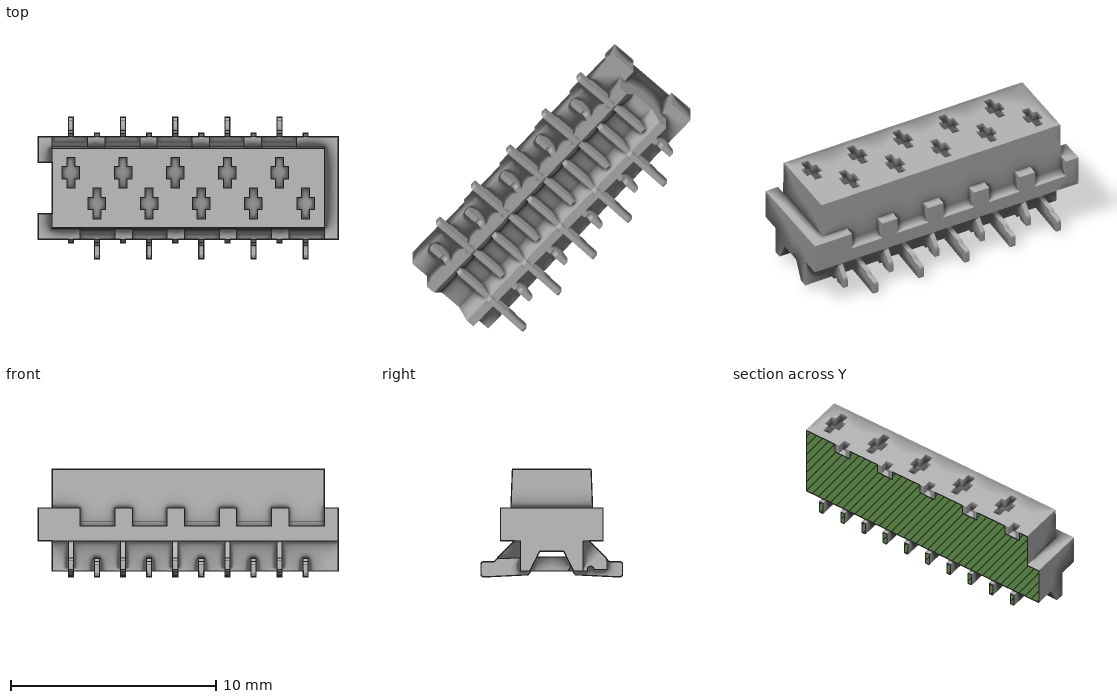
import cadquery as cq
import math


half_turn = 180

total_length = 14.63
total_width = 6.90
total_height = 5.25

contact_count = 10
contact_pitch = 1.27
row_offset = 0.75
first_contact_x = -contact_pitch * (contact_count - 1) / 2

end_x = total_length / 2
end_wall = 0.69
body_end_x = end_x - end_wall
body_top_half = 1.92
body_base_half = 2.02
foot_half = 1.52
foot_bottom = 0.28

tunnel_top = 1.25
tunnel_top_half = 0.58
tunnel_bottom_half = 1.08

collar_half = 2.50
collar_bottom = 1.76
collar_top = 3.36
post_width = 1.25
notch_floor = 2.47
root_radius = 0.23
merlon_width = 0.85
merlon_pitch = 2 * contact_pitch
merlon_shift = 0.03
first_merlon_x = first_contact_x + merlon_shift
merlon_count = 5

cross_length = 1.50
cross_stem_width = 0.40
cross_arm_span = 0.85
cross_arm_width = 0.60
cross_depth = 0.50

lead_thickness = 0.25
lead_tip_y = total_width / 2
lead_top = 0.75
lead_tip_radius = 0.15
lead_shoulder_y = 2.65
lead_shoulder_z = 0.90
lead_step_y = 0.55
lead_step_z = 0.94
lead_bar_top = 0.98
lead_flat_length = 0.25
lead_heel_y = 1.15
lead_heel_z = 0.10
lead_toe_y = 1.02
stub_end_y = 2.68
stub_bottom = 0.36
stub_slope_top_y = 1.82
stub_slope_end_y = 2.65
stub_chamfer_z = 0.81
stub_notch_inner_y = 1.73
stub_notch_radius = 0.165
relief_start_y = 0.79
relief_end_y = 0.95
relief_top = 0.56


def box(x_range, y_range, z_range):
    """Box spanning the given coordinate ranges."""
    size = [r[1] - r[0] for r in (x_range, y_range, z_range)]
    corner = (x_range[0], y_range[0], z_range[0])
    return cq.Workplane("XY").box(*size, centered=False).translate(corner)


def along_x(profile, x_start, x_end):
    """Extrude a closed YZ profile from x_start to x_end."""
    return profile.extrude(x_end - x_start).translate((x_start, 0, 0))


def make_body():
    """Tapered upper body, narrow foot and the collar ledge with rounded roots."""
    root_z = notch_floor + root_radius
    ledge_y = body_base_half + root_radius
    arc_reach = root_radius * (1 - math.cos(math.pi / 4))
    arc_mid_y = body_base_half + arc_reach
    arc_mid_z = notch_floor + arc_reach
    section = (
        cq.Workplane("YZ")
        .moveTo(-foot_half, foot_bottom)
        .lineTo(foot_half, foot_bottom)
        .lineTo(foot_half, collar_bottom)
        .lineTo(collar_half, collar_bottom)
        .lineTo(collar_half, notch_floor)
        .lineTo(ledge_y, notch_floor)
        .threePointArc((arc_mid_y, arc_mid_z), (body_base_half, root_z))
        .lineTo(body_top_half, total_height)
        .lineTo(-body_top_half, total_height)
        .lineTo(-body_base_half, root_z)
        .threePointArc((-arc_mid_y, arc_mid_z), (-ledge_y, notch_floor))
        .lineTo(-collar_half, notch_floor)
        .lineTo(-collar_half, collar_bottom)
        .lineTo(-foot_half, collar_bottom)
        .close()
    )
    return along_x(section, -body_end_x, body_end_x)


def add_collar_ends(body):
    """Two posts at the -X end and a full wall, with its foot, at the +X end."""
    collar_z = (collar_bottom, collar_top)
    post_inner = collar_half - post_width
    body = body.union(box((-end_x, -body_end_x), (post_inner, collar_half), collar_z))
    body = body.union(box((-end_x, -body_end_x), (-collar_half, -post_inner), collar_z))
    body = body.union(box((body_end_x, end_x), (-collar_half, collar_half), collar_z))
    return body.union(box((body_end_x, end_x), (-foot_half, foot_half), (foot_bottom, collar_bottom)))


def add_merlons(body):
    """Collar blocks on both sides; the two sides are half a turn apart about Z."""
    embed_y = body_top_half
    for index in range(merlon_count):
        center_x = first_merlon_x + index * merlon_pitch
        start_x = center_x - merlon_width / 2
        if index == 0:
            start_x = -body_end_x
        block = box(
            (start_x, center_x + merlon_width / 2),
            (-collar_half, -embed_y),
            (collar_bottom, collar_top),
        )
        body = body.union(block)
        body = body.union(block.rotate((0, 0, 0), (0, 0, 1), half_turn))
    return body


def cut_tunnel(body):
    """Trapezoidal tunnel through the whole length of the foot."""
    section = cq.Workplane("YZ").polyline([
        (-tunnel_bottom_half, foot_bottom),
        (tunnel_bottom_half, foot_bottom),
        (tunnel_top_half, tunnel_top),
        (-tunnel_top_half, tunnel_top),
    ]).close()
    return body.cut(along_x(section, -end_x, end_x))


def make_cross(x, y):
    """Cutter for one cross-shaped contact opening."""
    top = cq.Workplane("XY").workplane(offset=total_height).center(x, y)
    stem = top.rect(cross_stem_width, cross_length).extrude(-cross_depth)
    arms = top.rect(cross_arm_span, cross_arm_width).extrude(-cross_depth)
    return stem.union(arms)


def make_lead():
    """Lead centred on X = 0 with its long solder tail toward +Y and a stub toward -Y."""
    notch_outer_y = stub_notch_inner_y + 2 * stub_notch_radius
    notch_mid_y = stub_notch_inner_y + stub_notch_radius
    section = (
        cq.Workplane("YZ")
        .moveTo(lead_tip_y, 0)
        .lineTo(lead_tip_y, lead_top)
        .lineTo(lead_shoulder_y + lead_shoulder_z - lead_top, lead_top)
        .lineTo(lead_shoulder_y, lead_shoulder_z)
        .lineTo(lead_step_y, lead_step_z)
        .lineTo(lead_step_y, lead_bar_top)
        .lineTo(-foot_half, lead_bar_top)
        .lineTo(-foot_half, collar_bottom)
        .lineTo(-stub_slope_top_y, collar_bottom)
        .lineTo(-stub_slope_end_y, collar_bottom - stub_slope_end_y + stub_slope_top_y)
        .lineTo(-stub_end_y, stub_chamfer_z)
        .lineTo(-stub_end_y, stub_bottom)
        .lineTo(-notch_outer_y, stub_bottom)
        .threePointArc((-notch_mid_y, stub_bottom + stub_notch_radius), (-stub_notch_inner_y, stub_bottom))
        .lineTo(-stub_notch_inner_y, foot_bottom)
        .lineTo(-foot_half, foot_bottom)
        .lineTo(-relief_end_y, relief_top)
        .lineTo(-relief_start_y, foot_bottom)
        .lineTo(lead_toe_y, foot_bottom)
        .lineTo(lead_heel_y, lead_heel_z)
        .lineTo(lead_tip_y - lead_flat_length, 0)
        .close()
    )
    lead = along_x(section, -lead_thickness / 2, lead_thickness / 2)
    return lead.faces(">Y").edges("|X").fillet(lead_tip_radius)


def add_contacts(body):
    """Openings and leads, alternating between the +Y and -Y rows along X."""
    lead = make_lead()
    for index in range(contact_count):
        x = first_contact_x + index * contact_pitch
        in_back_row = index % 2 == 0
        y = row_offset if in_back_row else -row_offset
        turn = 0 if in_back_row else half_turn
        body = body.cut(make_cross(x, y))
        body = body.union(lead.rotate((0, 0, 0), (0, 0, 1), turn).translate((x, 0, 0)))
    return body


housing = cut_tunnel(add_merlons(add_collar_ends(make_body())))
result = add_contacts(housing)